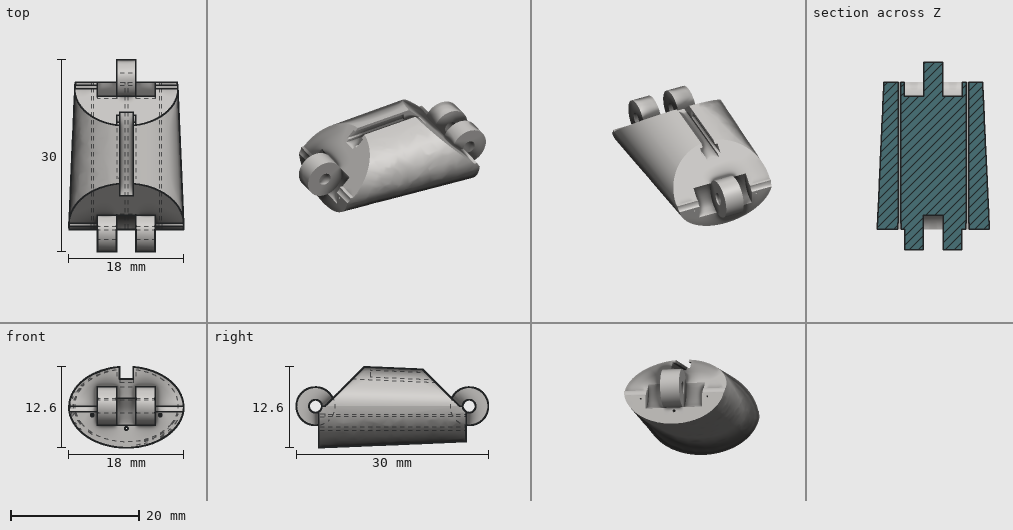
import cadquery as cq

body_length = 23.0
front_half_width = 9.0
front_half_height = 6.5
taper_inset = 1.0
slope_start = 10.5

hinge_axis_y = 12.0
knuckle_radius = 3.0
pin_radius = 1.0
knuckle_width = 3.0

slot_width = 2.1
slot_depth = 2.0
undercut_width = 3.0
undercut_height = 1.08
undercut_lift = 0.42
undercut_front_y = -3.48

center_hole_radius = 0.25
center_hole_z = -3.48
side_hole_radius = 0.15
side_counterbore_radius = 0.25
side_counterbore_depth = 1.0
side_hole_x = 5.3
side_hole_z = -1.38

end_y = body_length / 2
overlap = 1.5
body_span = 2 * front_half_width + overlap
knuckle_centers = (-knuckle_width, 0, knuckle_width)


def x_cylinder(radius, width, center_x, center_y):
    """Cylinder along X with its axis at Z = 0."""
    return (
        cq.Workplane("YZ", origin=(center_x - width / 2, 0, 0))
        .center(center_y, 0)
        .circle(radius)
        .extrude(width)
    )


def x_prism(points, width):
    """Outline in (Y, Z), extruded symmetrically about X = 0."""
    return cq.Workplane("YZ").polyline(points).close().extrude(width / 2, both=True)


def top_height(y):
    """Height of the tapered body's crest at a given Y."""
    return front_half_height - taper_inset * (y + end_y) / body_length


def make_body():
    loft = (
        cq.Workplane("XZ", origin=(0, -end_y, 0))
        .ellipse(front_half_width, front_half_height)
        .workplane(offset=-body_length)
        .ellipse(front_half_width - taper_inset, front_half_height - taper_inset)
        .loft(ruled=True)
    )
    rise = front_half_height + overlap
    for side in (-1, 1):
        slope_waste = x_prism(
            [
                (side * slope_start, 0),
                (side * (slope_start - rise), rise),
                (side * (end_y + overlap), rise),
                (side * (end_y + overlap), 0),
            ],
            body_span,
        )
        loft = loft.cut(slope_waste)
    return loft


def sloped_channel(width, bottom_depth, top_depth, front_y):
    """Channel between two depths below the body's crest, open to the back."""
    return x_prism(
        [
            (front_y, top_height(front_y) - bottom_depth),
            (end_y, top_height(end_y) - bottom_depth),
            (end_y, top_height(end_y) - top_depth),
            (front_y, top_height(front_y) - top_depth),
        ],
        width,
    )


def lengthwise_hole(radius, x, z, depth):
    """Cylinder running back from the front end of the body."""
    return cq.Workplane("XZ", origin=(x, -end_y, z)).circle(radius).extrude(-depth)


result = make_body()

result = result.cut(sloped_channel(slot_width, slot_depth, -overlap, -end_y))
undercut_bottom_depth = slot_depth - undercut_lift
undercut_top_depth = undercut_bottom_depth - undercut_height
result = result.cut(
    sloped_channel(undercut_width, undercut_bottom_depth, undercut_top_depth, undercut_front_y)
)

for center_x in knuckle_centers:
    knuckle_side = 1 if center_x == 0 else -1
    knuckle = x_cylinder(knuckle_radius, knuckle_width, center_x, knuckle_side * hinge_axis_y)
    clearance = x_cylinder(knuckle_radius, knuckle_width, center_x, -knuckle_side * hinge_axis_y)
    result = result.union(knuckle).cut(clearance)

for side in (-1, 1):
    result = result.cut(x_cylinder(pin_radius, body_span, 0, side * hinge_axis_y))

result = result.cut(lengthwise_hole(center_hole_radius, 0, center_hole_z, body_length))
for x in (-side_hole_x, side_hole_x):
    bore = lengthwise_hole(side_hole_radius, x, side_hole_z, body_length)
    counterbore = lengthwise_hole(side_counterbore_radius, x, side_hole_z, side_counterbore_depth)
    result = result.cut(bore).cut(counterbore)